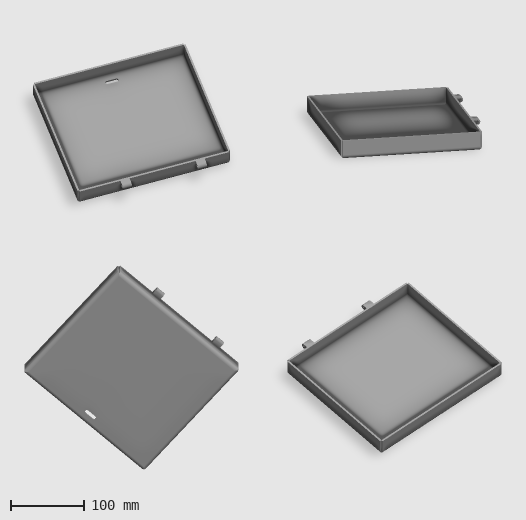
import cadquery as cq

overall_length = 207.3
tray_width = 219.1
tray_height = 26.0
sheet_thickness = 2.6
inner_bend_radius = 2.8
outer_bend_radius = inner_bend_radius + sheet_thickness
corner_notch = 2.5

lug_reach = 10.5
lug_radius = 4.0
lug_width = 13.1
pin_diameter = 3.5
lug_centers_y = (65.7, -42.0)

slot_length = 18.5
slot_width = 5.3
slot_from_wall = 14.0

tray_length = overall_length - lug_reach
wall_x = tray_length / 2
wall_y = tray_width / 2


def rounded_block(inset, bend_radius):
    """Block inset from the sides and underside, with rounded bottom edges."""
    length = tray_length - 2 * inset
    width = tray_width - 2 * inset
    block = cq.Workplane("XY").box(length, width, tray_height - inset, centered=(True, True, False))
    return block.edges("<Z").fillet(bend_radius).translate((0, 0, inset))


def corner_notches():
    """Square reliefs over the full height of the four corners."""
    corners = [(x, y) for x in (-wall_x, wall_x) for y in (-wall_y, wall_y)]
    side = 2 * corner_notch
    return cq.Workplane("XY").pushPoints(corners).rect(side, side).extrude(tray_height)


def hinge_lug(center_y):
    """Lug flush with the rim, with a round nose and a pin hole along Y."""
    pin_x = wall_x + lug_reach - lug_radius
    pin_z = tray_height - lug_radius
    root_x = wall_x - sheet_thickness / 2
    profile = (
        cq.Workplane("XZ", origin=(0, center_y, 0))
        .moveTo(root_x, tray_height)
        .lineTo(pin_x, tray_height)
        .threePointArc((pin_x + lug_radius, pin_z), (pin_x, pin_z - lug_radius))
        .lineTo(root_x, pin_z - lug_radius)
        .close()
    )
    lug = profile.extrude(lug_width / 2, both=True)
    pin_hole = (
        cq.Workplane("XZ", origin=(pin_x, center_y, pin_z))
        .circle(pin_diameter / 2)
        .extrude(lug_width / 2, both=True)
    )
    return lug.cut(pin_hole)


def floor_slot():
    """Round-ended slot running along Y through the floor."""
    return (
        cq.Workplane("XY")
        .center(slot_from_wall - wall_x, 0)
        .slot2D(slot_length, slot_width, 90)
        .extrude(sheet_thickness)
    )


tray = rounded_block(0, outer_bend_radius)
tray = tray.cut(rounded_block(sheet_thickness, inner_bend_radius))
tray = tray.cut(corner_notches()).cut(floor_slot())

for lug_y in lug_centers_y:
    tray = tray.union(hinge_lug(lug_y))

result = tray